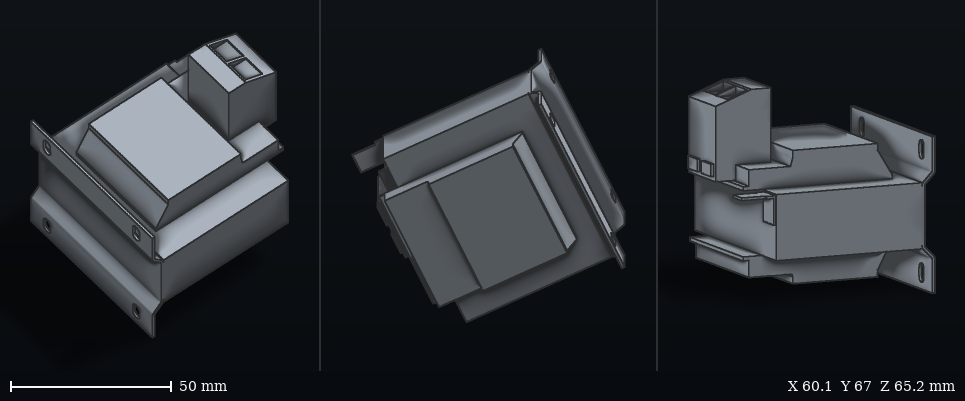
import cadquery as cq
import math


width = 60.1
bracket_height = 49.55
mid_z = bracket_height / 2
sheet = 1.0
web_offset = 3.5
web_flat_half = 9.45
inner_bend = 1.0
outer_bend = inner_bend + sheet
slot_width = 3.5
slot_length = 6.05
slot_spacing_x = 44.0
slot_spacing_z = 39.0

core_front = web_offset + sheet
core_depth = 50.15
core_back = core_front + core_depth
core_height = 20.9
core_top = mid_z + core_height / 2
core_bottom = mid_z - core_height / 2

bobbin_width = 39.2
winding_front = 14.9
winding_back = 44.05
step_back = 59.15
flange_back = 61.15
flange_rise = 1.3
upper_step_rise = 6.5
upper_step_front = 44.85
upper_winding_rise = 11.5
upper_shoulder_rise = 9.4
upper_front = 9.85
lower_step_rise = 6.7
lower_step_front = 44.4
lower_shoulder_rise = 7.6
lower_winding_rise = 9.8
lower_front = 11.5

block_width = 19.9
block_front = 47.1
block_back = 66.1
block_bottom = 36.9
block_top = 65.25
slope_front = 53.85
slope_back_z = 60.75
pocket_width = 8.25
pocket_spacing = 9.3
pocket_front = 54.7
pocket_back = 61.55
pocket_back_depth = 0.55
pin_width = 7.0
pin_spacing = 10.05
pin_end = 67.05
pin_bottom = 38.35
pin_height = 3.95

tab_x = -25.6
tab_wide = 7.9
tab_narrow = 6.3
tab_sheet = 0.9
tab_top = 34.8
tab_step = 57.7
tab_end = 65.9
tab_leg_sheet = 0.6
tab_leg_bottom = 25.5


def box(x_center, x_size, y_min, y_max, z_min, z_max):
    """Block centred on x_center between the given Y and Z limits."""
    size = (x_size, y_max - y_min, z_max - z_min)
    block = cq.Workplane("XY").box(*size, centered=(True, False, False))
    return block.translate((x_center, y_min, z_min))


def extrude_profile(points, x_size):
    """Closed (Y, Z) outline extruded symmetrically along X."""
    return cq.Workplane("YZ").polyline(points).close().extrude(x_size / 2, both=True)


def make_flange():
    """Upper half of the folded bracket, from mid height up."""
    diagonal = math.sqrt(0.5)
    slope_run = web_offset - (inner_bend + outer_bend) * (1 - diagonal)
    bend_1 = web_flat_half
    bend_2 = bend_1 + (inner_bend + outer_bend) * diagonal + slope_run

    web_bend = (web_offset - inner_bend, bend_1)
    flange_bend = (outer_bend, bend_2)

    def on_arc(center, radius, degrees):
        angle = math.radians(degrees)
        return (center[0] + radius * math.cos(angle), center[1] + radius * math.sin(angle))

    outline = (
        cq.Workplane("YZ", origin=(0, 0, mid_z))
        .moveTo(web_offset, 0)
        .lineTo(web_offset, bend_1)
        .threePointArc(on_arc(web_bend, inner_bend, 22.5), on_arc(web_bend, inner_bend, 45))
        .lineTo(*on_arc(flange_bend, outer_bend, 225))
        .threePointArc(on_arc(flange_bend, outer_bend, 202.5), (0, bend_2))
        .lineTo(0, bracket_height / 2)
        .lineTo(sheet, bracket_height / 2)
        .lineTo(sheet, bend_2)
        .threePointArc(on_arc(flange_bend, inner_bend, 202.5), on_arc(flange_bend, inner_bend, 225))
        .lineTo(*on_arc(web_bend, outer_bend, 45))
        .threePointArc(on_arc(web_bend, outer_bend, 22.5), (core_front, bend_1))
        .lineTo(core_front, 0)
        .close()
    )
    return outline.extrude(width / 2, both=True)


def make_bracket():
    upper = make_flange()
    bracket = upper.union(upper.mirror("XY", (0, 0, mid_z)))
    slots = (
        cq.Workplane("XZ", origin=(0, 0, mid_z))
        .rarray(slot_spacing_x, slot_spacing_z, 2, 2)
        .slot2D(slot_length, slot_width, 90)
        .extrude(-sheet)
    )
    return bracket.cut(slots)


def make_bobbin(front, step_front, step_rise, shoulder_rise, winding_rise, core_face, direction):
    """Bobbin half growing from a core face, upwards (direction 1) or downwards (direction -1)."""
    outline = [
        (flange_back, 0),
        (flange_back, flange_rise),
        (step_back, flange_rise),
        (step_back, step_rise),
        (step_front, step_rise),
        (winding_back, shoulder_rise),
        (winding_back, winding_rise),
        (winding_front, winding_rise),
        (winding_front, shoulder_rise),
        (front, flange_rise),
        (front, 0),
    ]
    return extrude_profile([(y, core_face + direction * rise) for y, rise in outline], bobbin_width)


def make_terminal_block():
    block = extrude_profile(
        [
            (block_front, block_bottom),
            (block_front, block_top),
            (slope_front, block_top),
            (block_back, slope_back_z),
            (block_back, block_bottom),
        ],
        block_width,
    )
    slope = (block_top - slope_back_z) / (block_back - slope_front)
    pocket_floor = block_top - slope * (pocket_back - slope_front) - pocket_back_depth
    for side in (-1, 1):
        pocket_x = side * pocket_spacing / 2
        pin_x = side * pin_spacing / 2
        pocket = box(pocket_x, pocket_width, pocket_front, pocket_back, pocket_floor, block_top)
        pin = box(pin_x, pin_width, block_back, pin_end, pin_bottom, pin_bottom + pin_height)
        block = block.cut(pocket).union(pin)
    return block


def make_earth_tab():
    tab_bottom = tab_top - tab_sheet
    leg = box(tab_x, tab_wide, core_back, core_back + tab_leg_sheet, tab_leg_bottom, tab_top)
    root = box(tab_x, tab_wide, core_back, tab_step, tab_bottom, tab_top)
    blade = box(tab_x, tab_narrow, tab_step, tab_end, tab_bottom, tab_top)
    return leg.union(root).union(blade)


core = box(0, width, core_front, core_back, core_bottom, core_top)
upper_bobbin = make_bobbin(
    upper_front, upper_step_front, upper_step_rise, upper_shoulder_rise, upper_winding_rise, core_top, 1
)
lower_bobbin = make_bobbin(
    lower_front, lower_step_front, lower_step_rise, lower_shoulder_rise, lower_winding_rise, core_bottom, -1
)
result = (
    core.union(make_bracket())
    .union(upper_bobbin)
    .union(lower_bobbin)
    .union(make_terminal_block())
    .union(make_earth_tab())
)